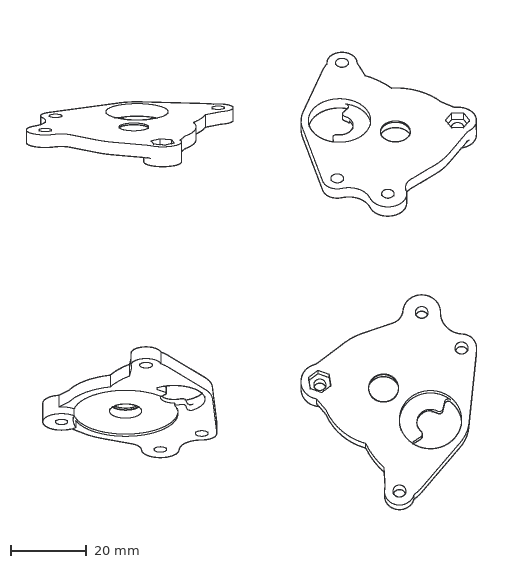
import cadquery as cq
import math

PLATE_THICKNESS = 3.5
TOTAL_HEIGHT = 5.5
LEDGE_DEPTH = 1.75
HEX_DEPTH = 2.4
SHAFT_LIP = 0.5
RECESS_DEPTH = 0.65

HUB = (0.0, 0.0)
WINDOW = (-4.0, 14.8)
TOP_LUG = (15.15, 25.4)
LEFT_LUG = (-23.15, 4.2)
FOOT_LUG = (-21.3, -10.3)
NUT_LUG = (12.0, -12.03)

HUB_RADIUS = 16.5
SMALL_LUG_RADIUS = 4.0
LARGE_LUG_RADIUS = 5.0
SHOULDER_RADIUS = 10.2
CREST_RADIUS = 13.85
CREST = (12.75, WINDOW[1])
BLEND_RADIUS = 3.0
FOOT_BLEND_RADIUS = 4.0
FOOT_BLEND_X = -14.8
SIDE_BLEND_RADIUS = 6.0

RIGHT_EDGE_X = 15.8
WAIST_LOW = (13.6, math.sqrt(HUB_RADIUS**2 - 13.6**2))
WAIST_MIDDLE = (14.3, 14.63)
WAIST_HIGH = (14.1, 17.65)
NECK_CORNER = (17.1, 21.8)

SHAFT_DIAMETER = 7.9
SHAFT_SEAT_DIAMETER = 8.5
RECESS_RADIUS = 13.9
WINDOW_DIAMETER = 16.5
UPPER_SCREW_DIAMETER = 3.4
FOOT_SCREW_DIAMETER = 3.3
NUT_SCREW_DIAMETER = 3.2
HEX_ACROSS_FLATS = 5.53

LEDGE_BORE_RADIUS = 3.6
RIGHT_TIP = (LEDGE_BORE_RADIUS, 1.75)
RIGHT_TIP_SLOPE = -0.085
LEFT_TIP_HEIGHT = 0.2
LEFT_TIP_SLOPE = 0.785
LEDGE_CORNER_RADIUS = 0.98


def polar(center, radius, angle):
    return (center[0] + radius * math.cos(angle), center[1] + radius * math.sin(angle))


def direction(start, end):
    return math.atan2(end[1] - start[1], end[0] - start[0])


def circles_meet(c1, r1, c2, r2):
    """Crossing point of two circles on the left of the line from c1 to c2."""
    gap = math.dist(c1, c2)
    turn = math.acos((r1**2 + gap**2 - r2**2) / (2 * r1 * gap))
    return polar(c1, r1, direction(c1, c2) + turn)


def outer_tangent(c1, r1, c2, r2):
    """Tangent points of the line along the right of two circles, going from c1 to c2."""
    turn = math.acos((r1 - r2) / math.dist(c1, c2))
    angle = direction(c1, c2) - turn
    return polar(c1, r1, angle), polar(c2, r2, angle)


def inner_tangent(c1, r1, c2, r2):
    """Tangent points of the crossing line from the left of c1 to the right of c2."""
    angle = direction(c1, c2) + math.acos((r1 + r2) / math.dist(c1, c2))
    return polar(c1, r1, angle), polar(c2, r2, angle + math.pi)


def arc_to(path, center, start, end, clockwise=False):
    """Add the arc about center from start, the current point, to end."""
    first, last = direction(center, start), direction(center, end)
    sweep = (first - last if clockwise else last - first) % (2 * math.pi)
    middle = first + (-sweep if clockwise else sweep) / 2
    return path.threePointArc(polar(center, math.dist(center, end), middle), end)


def touch(center, radius, other):
    return polar(center, radius, direction(center, other))


def outline():
    """Closed plate outline, followed counterclockwise from the foot of the hub arc."""
    small_reach = SMALL_LUG_RADIUS + BLEND_RADIUS
    large_reach = LARGE_LUG_RADIUS + BLEND_RADIUS
    nut_blend_y = -HUB_RADIUS - BLEND_RADIUS
    nut_blend_x = NUT_LUG[0] - math.sqrt(large_reach**2 - (nut_blend_y - NUT_LUG[1])**2)
    nut_blend = (nut_blend_x, nut_blend_y)
    bottom_end = (nut_blend_x, -HUB_RADIUS)
    nut_start = touch(NUT_LUG, LARGE_LUG_RADIUS, nut_blend)

    edge_offset = RIGHT_EDGE_X - NUT_LUG[0]
    nut_end = (RIGHT_EDGE_X, NUT_LUG[1] + math.sqrt(LARGE_LUG_RADIUS**2 - edge_offset**2))
    hub_start = (RIGHT_EDGE_X, -math.sqrt(HUB_RADIUS**2 - RIGHT_EDGE_X**2))

    neck_angle = direction(WAIST_HIGH, NECK_CORNER)
    lug_angle = direction(WAIST_HIGH, TOP_LUG) - neck_angle
    lug_distance = math.dist(WAIST_HIGH, TOP_LUG)
    blend_offset = lug_distance * math.sin(lug_angle) + BLEND_RADIUS
    neck_length = lug_distance * math.cos(lug_angle) - math.sqrt(small_reach**2 - blend_offset**2)
    neck_end = polar(WAIST_HIGH, neck_length, neck_angle)
    neck_blend = polar(neck_end, BLEND_RADIUS, neck_angle - math.pi / 2)
    top_start = touch(TOP_LUG, SMALL_LUG_RADIUS, neck_blend)

    top_end = circles_meet(CREST, CREST_RADIUS, TOP_LUG, SMALL_LUG_RADIUS)
    crest_end, shoulder_start = outer_tangent(CREST, CREST_RADIUS, WINDOW, SHOULDER_RADIUS)
    shoulder_end, left_start = outer_tangent(WINDOW, SHOULDER_RADIUS, LEFT_LUG, SMALL_LUG_RADIUS)

    side_blend = circles_meet(
        FOOT_LUG, LARGE_LUG_RADIUS + SIDE_BLEND_RADIUS,
        LEFT_LUG, SMALL_LUG_RADIUS + SIDE_BLEND_RADIUS,
    )
    left_end = touch(LEFT_LUG, SMALL_LUG_RADIUS, side_blend)
    foot_start = touch(FOOT_LUG, LARGE_LUG_RADIUS, side_blend)

    foot_reach = LARGE_LUG_RADIUS + FOOT_BLEND_RADIUS
    foot_drop = math.sqrt(foot_reach**2 - (FOOT_BLEND_X - FOOT_LUG[0])**2)
    foot_blend = (FOOT_BLEND_X, FOOT_LUG[1] - foot_drop)
    foot_end = touch(FOOT_LUG, LARGE_LUG_RADIUS, foot_blend)
    slope_start, slope_end = inner_tangent(foot_blend, FOOT_BLEND_RADIUS, HUB, HUB_RADIUS)
    hub_foot = (0, -HUB_RADIUS)

    path = cq.Workplane("XY").moveTo(*hub_foot).lineTo(*bottom_end)
    path = arc_to(path, nut_blend, bottom_end, nut_start, clockwise=True)
    path = arc_to(path, NUT_LUG, nut_start, nut_end)
    path = path.lineTo(*hub_start)
    path = arc_to(path, HUB, hub_start, WAIST_LOW)
    path = path.threePointArc(WAIST_MIDDLE, WAIST_HIGH).lineTo(*neck_end)
    path = arc_to(path, neck_blend, neck_end, top_start, clockwise=True)
    path = arc_to(path, TOP_LUG, top_start, top_end)
    path = arc_to(path, CREST, top_end, crest_end)
    path = path.lineTo(*shoulder_start)
    path = arc_to(path, WINDOW, shoulder_start, shoulder_end)
    path = path.lineTo(*left_start)
    path = arc_to(path, LEFT_LUG, left_start, left_end)
    path = arc_to(path, side_blend, left_end, foot_start, clockwise=True)
    path = arc_to(path, FOOT_LUG, foot_start, foot_end)
    path = arc_to(path, foot_blend, foot_end, slope_start, clockwise=True)
    path = path.lineTo(*slope_end)
    return arc_to(path, HUB, slope_end, hub_foot).close()


def cylinder(center, radius, top, bottom):
    return cq.Workplane("XY", origin=(*center, bottom)).circle(radius).extrude(top - bottom)


def ledge_opening():
    """Through opening that leaves a crescent ledge in the lower half of the window."""
    window_radius = WINDOW_DIAMETER / 2
    left_tip = (-math.sqrt(LEDGE_BORE_RADIUS**2 - LEFT_TIP_HEIGHT**2), LEFT_TIP_HEIGHT)

    def reach_window(tip, slope, side):
        """Point where the line through tip meets the window wall on the given side."""
        rise = tip[1] - slope * tip[0]
        root = math.sqrt(window_radius**2 * (1 + slope**2) - rise**2)
        x = (-slope * rise + side * root) / (1 + slope**2)
        return (x, slope * x + rise)

    right_wall = reach_window(RIGHT_TIP, RIGHT_TIP_SLOPE, 1)
    left_wall = reach_window(left_tip, LEFT_TIP_SLOPE, -1)
    opening = (
        cq.Workplane("XY", origin=(*WINDOW, -PLATE_THICKNESS))
        .moveTo(*right_wall)
        .threePointArc((0, window_radius), left_wall)
        .lineTo(*left_tip)
        .threePointArc((0, -LEDGE_BORE_RADIUS), (LEDGE_BORE_RADIUS, 0))
        .lineTo(*RIGHT_TIP)
        .close()
        .extrude(PLATE_THICKNESS)
    )
    for corner in (right_wall, left_wall, left_tip, RIGHT_TIP):
        place = (WINDOW[0] + corner[0], WINDOW[1] + corner[1], -PLATE_THICKNESS / 2)
        opening = opening.edges(cq.selectors.NearestToPointSelector(place)).fillet(LEDGE_CORNER_RADIUS)
    return opening


plate = outline().extrude(-PLATE_THICKNESS)
result = plate.union(cylinder(NUT_LUG, LARGE_LUG_RADIUS, 0, -TOTAL_HEIGHT))

result = result.cut(cylinder(HUB, RECESS_RADIUS, RECESS_DEPTH - PLATE_THICKNESS, -TOTAL_HEIGHT))

result = result.cut(cylinder(HUB, SHAFT_DIAMETER / 2, 0, -PLATE_THICKNESS))
result = result.cut(cylinder(HUB, SHAFT_SEAT_DIAMETER / 2, -SHAFT_LIP, -PLATE_THICKNESS))

result = result.cut(cylinder(WINDOW, WINDOW_DIAMETER / 2, 0, -LEDGE_DEPTH))
result = result.cut(ledge_opening())

for lug, diameter in (
    (TOP_LUG, UPPER_SCREW_DIAMETER),
    (LEFT_LUG, UPPER_SCREW_DIAMETER),
    (FOOT_LUG, FOOT_SCREW_DIAMETER),
    (NUT_LUG, NUT_SCREW_DIAMETER),
):
    result = result.cut(cylinder(lug, diameter / 2, 0, -TOTAL_HEIGHT))

hex_across_corners = HEX_ACROSS_FLATS / math.cos(math.pi / 6)
nut_pocket = cq.Workplane("XY", origin=(*NUT_LUG, 0)).polygon(6, hex_across_corners).extrude(-HEX_DEPTH)
result = result.cut(nut_pocket)